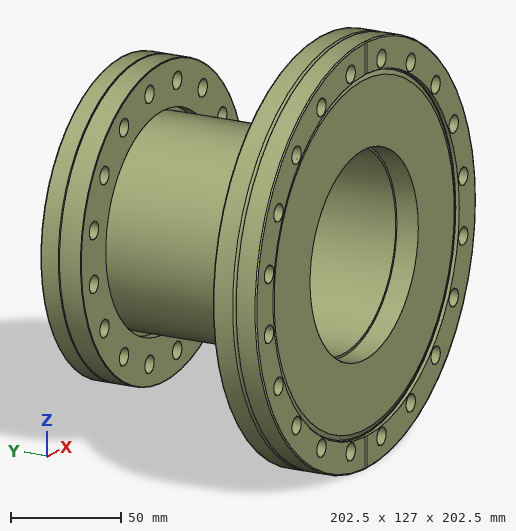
import cadquery as cq
import math

total_length = 127.0

large_diameter = 202.5
large_thickness = 22.7
large_bolt_circle = 181.0
large_bolt_count = 20

small_diameter = 151.6
small_thickness = 21.3
small_bolt_circle = 130.4
small_bolt_count = 16

bolt_hole_diameter = 8.5
edge_chamfer = 0.6
inner_edge_chamfer = 0.3

tube_outer_diameter = 101.6
tube_bore_diameter = 97.4
socket_diameter = 99.5
socket_depth = 12.1

relief_diameter = 106.0
relief_depth = 5.0

large_recess_diameter = 171.5
small_recess_diameter = 120.7
recess_gap = 0.6
knife_flank_width = 2.2
knife_depth = 1.0
knife_flank_angle = 20.0
recess_depth = knife_depth + knife_flank_width * math.tan(math.radians(knife_flank_angle))

leak_slot_width = 2.0
leak_slot_depth = 0.5

large_groove_width = 1.8
large_groove_depth = 0.3
large_groove_center = large_thickness / 2
small_groove_width = 0.6
small_groove_depth = 0.2
small_groove_setback = 9.7
small_groove_center = total_length - small_groove_setback

small_face_y = total_length - small_thickness


def cylinder(diameter, start, length):
    """Solid cylinder on the Y axis from start to start + length."""
    disc = cq.Workplane("XZ", origin=(0, start, 0)).circle(diameter / 2)
    return disc.extrude(-length)


def bolt_holes(circle_diameter, count, start, length):
    """Equally spaced holes that straddle the X and Z axes."""
    return (
        cq.Workplane("XZ", origin=(0, start, 0))
        .polarArray(circle_diameter / 2, 180 / count, 360, count)
        .circle(bolt_hole_diameter / 2)
        .extrude(-length)
    )


def revolve_about_axis(profile):
    """Revolve a closed outline, with X as radius, about the Y axis."""
    return profile.revolve(360, (0, 0, 0), (0, 1, 0))


def rim_groove(flange_diameter, center, width, depth):
    radius = flange_diameter / 2
    profile = (
        cq.Workplane("XY")
        .moveTo(radius, center - width / 2)
        .threePointArc((radius - depth, center), (radius, center + width / 2))
        .close()
    )
    return revolve_about_axis(profile)


def sealing_recess(recess_diameter, face_y, inward):
    """Round recess whose floor rises along a conical flank to the knife edge; inward is +1 or -1."""
    wall_radius = recess_diameter / 2
    flank_base_radius = wall_radius - recess_gap
    knife_radius = flank_base_radius - knife_flank_width
    floor_y = face_y + inward * recess_depth
    knife_y = face_y + inward * knife_depth
    outline = [
        (0, face_y),
        (wall_radius, face_y),
        (wall_radius, floor_y),
        (flank_base_radius, floor_y),
        (knife_radius, knife_y),
        (0, knife_y),
    ]
    return revolve_about_axis(cq.Workplane("XY").polyline(outline).close())


def leak_slots(flange_diameter, recess_diameter, face_y, inward):
    """Arc-section slots along Z, above and below the sealing recess."""
    slots = (
        cq.Workplane("XY", origin=(0, face_y, 0))
        .moveTo(-leak_slot_width / 2, 0)
        .threePointArc((0, inward * leak_slot_depth), (leak_slot_width / 2, 0))
        .close()
        .extrude(flange_diameter / 2, both=True)
    )
    return slots.cut(cylinder(recess_diameter, face_y - leak_slot_depth, 2 * leak_slot_depth))


def large_flange():
    flange = cylinder(large_diameter, 0, large_thickness).edges().chamfer(edge_chamfer)
    flange = flange.cut(sealing_recess(large_recess_diameter, 0, 1))
    flange = flange.cut(leak_slots(large_diameter, large_recess_diameter, 0, 1))
    flange = flange.cut(
        rim_groove(large_diameter, large_groove_center, large_groove_width, large_groove_depth)
    )
    return flange.cut(bolt_holes(large_bolt_circle, large_bolt_count, 0, large_thickness))


def small_flange():
    flange = cylinder(small_diameter, small_face_y, small_thickness)
    flange = flange.edges(">Y").chamfer(edge_chamfer)
    flange = flange.edges("<Y").chamfer(inner_edge_chamfer)
    flange = flange.cut(cylinder(relief_diameter, small_face_y, relief_depth))
    flange = flange.cut(sealing_recess(small_recess_diameter, total_length, -1))
    flange = flange.cut(leak_slots(small_diameter, small_recess_diameter, total_length, -1))
    flange = flange.cut(
        rim_groove(small_diameter, small_groove_center, small_groove_width, small_groove_depth)
    )
    return flange.cut(bolt_holes(small_bolt_circle, small_bolt_count, small_face_y, small_thickness))


tube = cylinder(tube_outer_diameter, knife_depth, total_length - 2 * knife_depth)
body = large_flange().union(small_flange()).union(tube)
body = body.cut(cylinder(tube_bore_diameter, 0, total_length))
result = body.cut(cylinder(socket_diameter, 0, socket_depth))